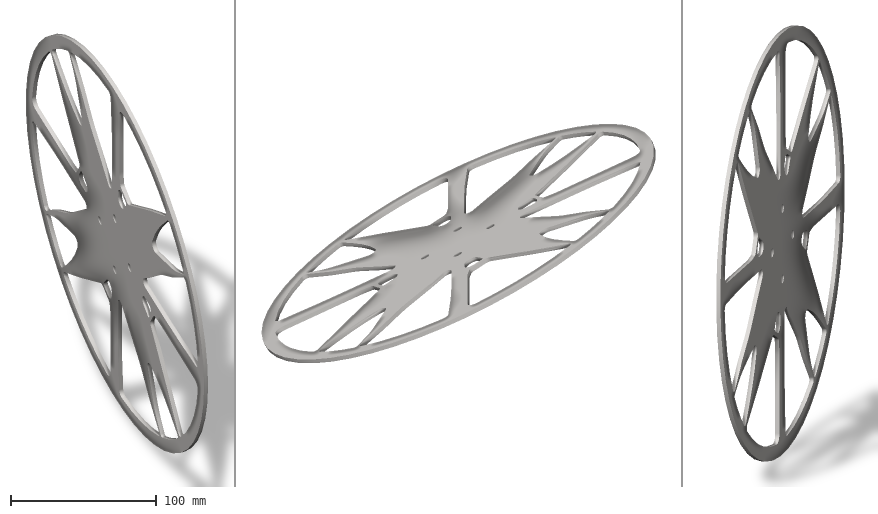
import cadquery as cq
import math

DISC_DIAMETER = 300.0
THICKNESS = 3.0
RIM_WIDTH = 10.0
SECTORS = 4

RAY_CORNER_RADIUS = 3.0

BOLT_HOLE_DIAMETER = 6.2
BOLT_CIRCLE_RADIUS = 25.0

RIM_INNER_RADIUS = DISC_DIAMETER / 2 - RIM_WIDTH


def rim_point(x):
    """Point on the inner edge of the rim, in the +X +Z quadrant, at the given X."""
    return (x, math.sqrt(RIM_INNER_RADIUS**2 - x**2))


def rim_midpoint(start, end):
    """Point on the inner edge of the rim halfway between two rim points."""
    angle = (math.atan2(start[1], start[0]) + math.atan2(end[1], end[0])) / 2
    return (RIM_INNER_RADIUS * math.cos(angle), RIM_INNER_RADIUS * math.sin(angle))


def start_outline(point):
    """Begin a cutter outline on the mid-plane of the disc."""
    return cq.Workplane("XZ").moveTo(*point)


def rounded_cutter(outline, corners):
    """Extrude a closed outline through the disc and round each (corner, radius)."""
    cutter = outline.close().extrude(THICKNESS / 2, both=True)
    for (x, z), radius in corners:
        nearest = cq.selectors.NearestToPointSelector((x, 0, z))
        cutter = cutter.edges("|Y").edges(nearest).fillet(radius)
    return cutter


def spoke_window():
    """Large window beside the straight edge of the vertical spoke."""
    spoke_edge_x = 7.5
    ray_corner_x = 88.4
    spoke_corner_radius = 6.0
    foot_radius = 4.0
    heel_radius = 3.0
    bend_radius = 20.0
    rim_start = rim_point(spoke_edge_x)
    rim_end = rim_point(ray_corner_x)
    flank = [(70.0, 95.5), (50.0, 80.5), (35.0, 68.6)]
    foot = (22.0, 58.8)
    heel = (9.0, 65.3)
    bend = (spoke_edge_x, 75.0)
    outline = (
        start_outline(rim_start)
        .threePointArc(rim_midpoint(rim_start, rim_end), rim_end)
        .spline(flank + [foot], includeCurrent=True)
        .lineTo(*heel)
        .lineTo(*bend)
    )
    corners = [
        (rim_start, spoke_corner_radius),
        (rim_end, RAY_CORNER_RADIUS),
        (foot, foot_radius),
        (heel, heel_radius),
        (bend, bend_radius),
    ]
    return rounded_cutter(outline, corners)


def tip_window():
    """Curved, pointed window that splits the ray of the star in two."""
    upper_corner_x = 90.0
    lower_corner_x = 116.4
    lower_corner_radius = 2.0
    foot_radius = 4.7
    rim_start = rim_point(upper_corner_x)
    rim_end = rim_point(lower_corner_x)
    lower_flank = [(110.0, 73.5), (105.0, 70.0), (90.0, 62.8)]
    foot = (60.2, 51.0)
    upper_flank = [(65.0, 67.0), (72.5, 82.0), (82.5, 97.0)]
    outline = (
        start_outline(rim_start)
        .threePointArc(rim_midpoint(rim_start, rim_end), rim_end)
        .spline(lower_flank + [foot], includeCurrent=True)
        .spline(upper_flank + [rim_start], includeCurrent=True)
    )
    corners = [(rim_start, RAY_CORNER_RADIUS), (rim_end, lower_corner_radius), (foot, foot_radius)]
    return rounded_cutter(outline, corners)


def tapered_window():
    """Large window beside the horizontal spoke, whose edge bends away near the rim."""
    ray_corner_x = 117.3
    spoke_corner_x = 139.8
    spoke_edge_z = 4.9
    taper_slope = 0.06
    spoke_corner_radius = 4.0
    foot_radius = 4.0
    rim_start = rim_point(ray_corner_x)
    rim_end = rim_point(spoke_corner_x)
    taper_start = (88.0, spoke_edge_z)
    foot = (40.0, spoke_edge_z)
    flank = [(57.0, 19.8), (70.0, 34.0), (80.0, 44.0), (95.0, 55.7), (105.0, 64.8)]
    outline = (
        start_outline(rim_start)
        .threePointArc(rim_midpoint(rim_start, rim_end), rim_end)
        .spline([taper_start], tangents=[(-1, -taper_slope), (-1, 0)], includeCurrent=True)
        .lineTo(*foot)
        .spline(flank + [rim_start], includeCurrent=True)
    )
    corners = [(rim_start, RAY_CORNER_RADIUS), (rim_end, spoke_corner_radius), (foot, foot_radius)]
    return rounded_cutter(outline, corners)


def triangular_hole():
    """Small rounded triangular hole at the foot of the spoke window."""
    spoke_side_x = 5.3
    top = (spoke_side_x, 63.7)
    outer = (19.8, 56.8)
    bottom = (spoke_side_x, 33.3)
    spoke_side_radius = 5.0
    outer_radius = 2.0
    outline = start_outline(top).lineTo(*outer).lineTo(*bottom)
    corners = [(top, spoke_side_radius), (outer, outer_radius), (bottom, spoke_side_radius)]
    return rounded_cutter(outline, corners)


def bolt_hole():
    """Round hole on the vertical spoke."""
    return (
        cq.Workplane("XZ")
        .center(0, BOLT_CIRCLE_RADIUS)
        .circle(BOLT_HOLE_DIAMETER / 2)
        .extrude(THICKNESS / 2, both=True)
    )


disc = cq.Workplane("XZ").circle(DISC_DIAMETER / 2).extrude(THICKNESS / 2, both=True)

openings = [spoke_window(), tip_window(), tapered_window(), triangular_hole(), bolt_hole()]
for sector in range(SECTORS):
    angle = sector * 360.0 / SECTORS
    for opening in openings:
        disc = disc.cut(opening.rotate((0, 0, 0), (0, 1, 0), angle))

result = disc